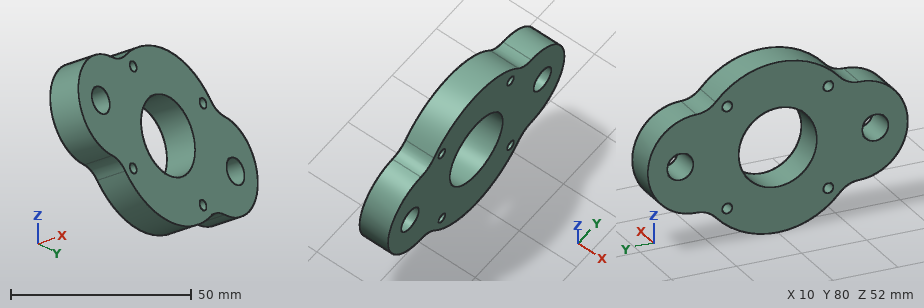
import cadquery as cq

thickness = 10.0
length = 80.0
disc_diameter = 52.0
lobe_diameter = 30.0
blend_radius = 8.0
lobe_offset = (length - lobe_diameter) / 2

bore_diameter = 24.0
mount_hole_diameter = 8.0
mount_hole_spacing = 60.0
screw_hole_diameter = 3.0
screw_circle_diameter = 44.0


def cylinders(diameter, centers):
    """Cylinders along X through the full thickness at (Y, Z) centers."""
    return (
        cq.Workplane("YZ")
        .workplane(offset=-thickness / 2)
        .pushPoints(centers)
        .circle(diameter / 2)
        .extrude(thickness)
    )


def plate_body():
    """Central disc with a round lobe at each end, blended at the four inner corners."""
    body = cylinders(disc_diameter, [(0, 0)])
    for side in (-1, 1):
        body = body.union(cylinders(lobe_diameter, [(side * lobe_offset, 0)]))
    corners = body.edges("|X").filter(lambda edge: abs(edge.Center().z) > lobe_diameter / 4)
    return body.newObject(corners.vals()).fillet(blend_radius)


def screw_centers():
    """Four points on the screw circle, at 45 degrees to the axes."""
    square_side = screw_circle_diameter / 2**0.5
    return cq.Workplane("YZ").rect(square_side, square_side, forConstruction=True).vertices()


bore = cylinders(bore_diameter, [(0, 0)])
mount_holes = cylinders(
    mount_hole_diameter,
    [(-mount_hole_spacing / 2, 0), (mount_hole_spacing / 2, 0)],
)
screw_holes = screw_centers().circle(screw_hole_diameter / 2).extrude(thickness / 2, both=True)

result = plate_body().cut(bore).cut(mount_holes).cut(screw_holes)